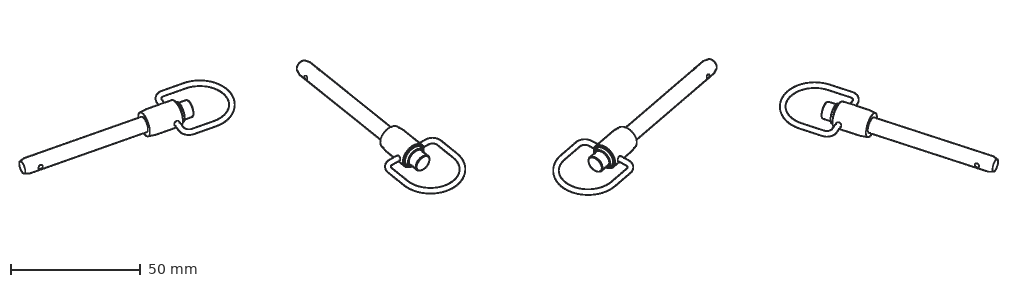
import cadquery as cq


shank_radius = 3.2
tip_radius = 2.55
tip_length = 2.1

body_radius = 10.6 / 2
body_base_radius = 4.9
body_start = 53.1
body_taper_length = 3.0
body_end = 67.5
body_chamfer = 0.3
collar_base_radius = 4.4
collar_top_radius = 4.1
collar_end = 68.7
button_radius = 7.0 / 2
button_end = 73.0
button_chamfer = 0.3

ball_radius = 1.1
ball_reach = 3.7
ball_position = 6.4

total_length = 90.9
ring_width = 27.0
wire_diameter = 2.3
wire_radius = wire_diameter / 2
ring_base = 64.55
corner_radius = 3.3
arch_radius = ring_width / 2 - wire_radius
arch_top = total_length - wire_radius
arch_start = arch_top - arch_radius


def make_pin():
    """Revolve the shank, body, collar and button as one profile."""
    profile = [
        (0, 0),
        (tip_radius, 0),
        (shank_radius, tip_length),
        (shank_radius, body_start),
        (body_base_radius, body_start),
        (body_radius, body_start + body_taper_length),
        (body_radius, body_end - body_chamfer),
        (body_radius - body_chamfer, body_end),
        (collar_base_radius, body_end),
        (collar_top_radius, collar_end),
        (button_radius, collar_end),
        (button_radius, button_end - button_chamfer),
        (button_radius - button_chamfer, button_end),
        (0, button_end),
    ]
    return cq.Workplane("XY").polyline(profile).close().revolve(360, (0, 0), (0, 1))


def make_ball(side):
    """Locking ball protruding from the shank; side is -1 or 1 along X."""
    center_x = side * (ball_reach - ball_radius)
    return cq.Workplane("XY").sphere(ball_radius).translate((center_x, ball_position, 0))


def make_ring():
    """Sweep the round wire along the D-shaped ring, both ends buried in the body."""
    corner_x = arch_radius - corner_radius
    corner_y = ring_base + corner_radius
    path = (
        cq.Workplane("XY")
        .moveTo(0, ring_base)
        .lineTo(corner_x, ring_base)
        .radiusArc((arch_radius, corner_y), -corner_radius)
        .lineTo(arch_radius, arch_start)
        .threePointArc((0, arch_top), (-arch_radius, arch_start))
        .lineTo(-arch_radius, corner_y)
        .radiusArc((-corner_x, ring_base), -corner_radius)
        .lineTo(-wire_radius, ring_base)
    )
    wire_section = cq.Workplane("YZ").center(ring_base, 0).circle(wire_radius)
    return wire_section.sweep(path)


result = make_pin().union(make_ring())
for side in (-1, 1):
    result = result.union(make_ball(side))